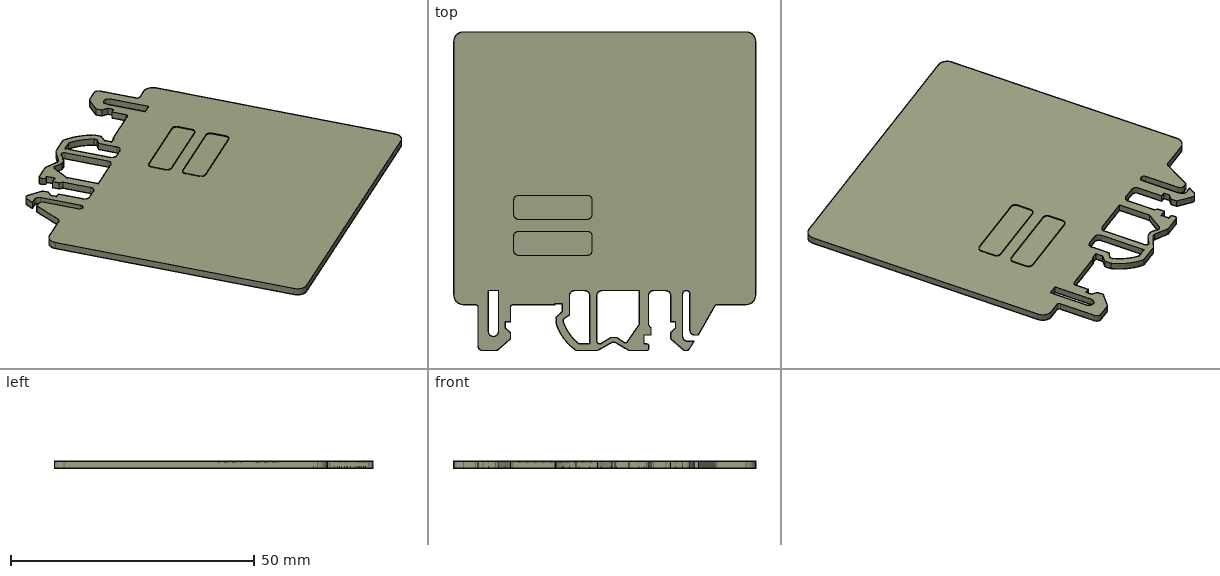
import cadquery as cq

WIDTH = 62.0
LENGTH = 65.5
THICKNESS = 1.5

PLATE_BOTTOM = 9.4
OPENING_TOP = 12.3
OPENING_BOTTOM = 1.45
NOTCH_TOP = 5.9
NOTCH_BOTTOM = 4.65
HOOK_NOSE_TOP = 3.75
HOOK_NOSE_BOTTOM = 2.4
LEDGE = 3.2

PLATE_RADIUS = 2.0
LARGE_RADIUS = 1.0
SMALL_RADIUS = 0.5
RELEASE_TOP_RADIUS = 0.65

HOOK_LEFT = 5.0
HOOK_RIGHT = 11.65
HOOK_NOTCH = 10.6
HOOK_TIP = 8.9
HOOK_SLOT_LEFT = 7.15
HOOK_SLOT_RIGHT = 9.2
HOOK_SLOT_BOTTOM = 2.95

FOOT_STEP = 20.75
FOOT_STEP_TOP = 9.6
FOOT_NECK = 22.3
FOOT_NECK_BOTTOM = 8.05
BOW_SIDE = 21.0
BOW_TOP = 6.9
BOW_START = 5.5
BOW_MIDDLE = (22.5, 2.55)
FOOT_LEFT = 25.15
ARCH_LEFT = 29.5
ARCH_RIGHT = 36.0
ARCH_CREST_LEFT = 32.55
ARCH_CREST_RIGHT = 33.15
ARCH_CREST = 1.7
LATCH_NECK = 40.0
LATCH_NECK_BOTTOM = 5.3
LATCH_TOOTH = 40.55
LATCH_NOTCH = 39.1
LATCH_TOE = 40.1
WEB_LEFT = 27.9
WEB_RIGHT = 29.4

RIGHT_HOOK = 44.55
RIGHT_NOTCH = 45.5
RELEASE_LEFT = 47.0
RELEASE_RIGHT = 48.5
RELEASE_BOTTOM = 1.95
WEDGE_TIP = 50.25
WEDGE_TOP = 53.8
RIGHT_HOOK_TIP_START = (47.0, 0.25)
RIGHT_HOOK_TIP_LOW = (47.7, 0)
RIGHT_HOOK_TIP_END = (48.5, 0.45)
RIGHT_HOOK_TOE = 49.4

LABEL_LEFT = 12.3
LABEL_WIDTH = 16.1
LABEL_HEIGHT = 4.9
LABEL_BOTTOMS = (19.6, 27.0)
LABEL_RADIUS = 1.0
LABEL_DEPTH = 0.2


def round_corners(body, radius, corners):
    """Fillet the upright edges standing at the given (x, y) corners."""
    reach = 0.03
    margin = 0.65
    low = -margin
    high = THICKNESS + margin
    edges = cq.Workplane("XY")
    for x, y in corners:
        box = cq.selectors.BoxSelector((x - reach, y - reach, low), (x + reach, y + reach, high))
        edges = edges.add(body.edges("|Z").edges(box))
    return body.newObject([body.val().fillet(radius, edges.vals())])


def make_plate():
    """Plate with both hooks, the outside of the middle foot and the wedge."""
    outline = (
        cq.Workplane("XY")
        .moveTo(0, LENGTH)
        .lineTo(0, PLATE_BOTTOM)
        .lineTo(HOOK_LEFT, PLATE_BOTTOM)
        .lineTo(HOOK_LEFT, 0)
        .lineTo(HOOK_TIP, 0)
        .lineTo(HOOK_RIGHT, HOOK_NOSE_BOTTOM)
        .lineTo(HOOK_RIGHT, HOOK_NOSE_TOP)
        .lineTo(HOOK_NOTCH, NOTCH_BOTTOM)
        .lineTo(HOOK_NOTCH, NOTCH_TOP)
        .lineTo(HOOK_RIGHT, NOTCH_TOP)
        .lineTo(HOOK_RIGHT, PLATE_BOTTOM)
        .lineTo(FOOT_STEP, PLATE_BOTTOM)
        .lineTo(FOOT_STEP, FOOT_STEP_TOP)
        .lineTo(FOOT_NECK, FOOT_STEP_TOP)
        .lineTo(FOOT_NECK, FOOT_NECK_BOTTOM)
        .lineTo(BOW_SIDE, BOW_TOP)
        .lineTo(BOW_SIDE, BOW_START)
        .threePointArc(BOW_MIDDLE, (FOOT_LEFT, 0))
        .lineTo(ARCH_LEFT, 0)
        .lineTo(ARCH_CREST_LEFT, ARCH_CREST)
        .lineTo(ARCH_CREST_RIGHT, ARCH_CREST)
        .lineTo(ARCH_RIGHT, 0)
        .lineTo(LATCH_TOE, 0)
        .lineTo(LATCH_TOE, OPENING_BOTTOM)
        .lineTo(LATCH_NOTCH, OPENING_BOTTOM)
        .lineTo(LATCH_NOTCH, LEDGE)
        .lineTo(LATCH_TOOTH, LEDGE)
        .lineTo(LATCH_TOOTH, NOTCH_BOTTOM)
        .lineTo(LATCH_NECK, LATCH_NECK_BOTTOM)
        .lineTo(LATCH_NECK, OPENING_TOP)
        .lineTo(RIGHT_HOOK, OPENING_TOP)
        .lineTo(RIGHT_HOOK, NOTCH_TOP)
        .lineTo(RIGHT_NOTCH, NOTCH_TOP)
        .lineTo(RIGHT_NOTCH, NOTCH_BOTTOM)
        .lineTo(RIGHT_HOOK, HOOK_NOSE_TOP)
        .lineTo(RIGHT_HOOK, HOOK_NOSE_BOTTOM)
        .lineTo(*RIGHT_HOOK_TIP_START)
        .threePointArc(RIGHT_HOOK_TIP_LOW, RIGHT_HOOK_TIP_END)
        .lineTo(RIGHT_HOOK_TOE, RELEASE_BOTTOM)
        .lineTo(RELEASE_LEFT, RELEASE_BOTTOM)
        .lineTo(RELEASE_LEFT, OPENING_TOP)
        .lineTo(RELEASE_RIGHT, OPENING_TOP)
        .lineTo(RELEASE_RIGHT, LEDGE)
        .lineTo(WEDGE_TIP, LEDGE)
        .lineTo(WEDGE_TOP, PLATE_BOTTOM)
        .lineTo(WIDTH, PLATE_BOTTOM)
        .lineTo(WIDTH, LENGTH)
        .close()
    )
    plate = outline.extrude(THICKNESS)
    plate = round_corners(plate, PLATE_RADIUS, [
        (0, LENGTH),
        (WIDTH, LENGTH),
        (0, PLATE_BOTTOM),
        (WIDTH, PLATE_BOTTOM),
    ])
    plate = round_corners(plate, RELEASE_TOP_RADIUS, [
        (RELEASE_LEFT, OPENING_TOP),
        (RELEASE_RIGHT, OPENING_TOP),
    ])
    plate = round_corners(plate, LARGE_RADIUS, [
        (HOOK_LEFT, 0),
        (HOOK_TIP, 0),
        (LATCH_NECK, OPENING_TOP),
        (RIGHT_HOOK, OPENING_TOP),
        (RELEASE_LEFT, RELEASE_BOTTOM),
        (RELEASE_RIGHT, LEDGE),
    ])
    return round_corners(plate, SMALL_RADIUS, [
        (HOOK_LEFT, PLATE_BOTTOM),
        (HOOK_RIGHT, PLATE_BOTTOM),
        (LATCH_TOE, 0),
        (LATCH_TOE, OPENING_BOTTOM),
        (WEDGE_TOP, PLATE_BOTTOM),
    ])


def make_hook_slot():
    """Slot up the left hook, square at the top and round at the bottom."""
    slot = (
        cq.Workplane("XY")
        .moveTo(HOOK_SLOT_LEFT, HOOK_SLOT_BOTTOM)
        .lineTo(HOOK_SLOT_RIGHT, HOOK_SLOT_BOTTOM)
        .lineTo(HOOK_SLOT_RIGHT, OPENING_TOP)
        .lineTo(HOOK_SLOT_LEFT, OPENING_TOP)
        .close()
        .extrude(THICKNESS)
    )
    return slot.edges("|Z and <Y").fillet(LARGE_RADIUS)


def make_spring_opening():
    """Opening between the bowed spring side and the web of the middle foot."""
    left = 23.8
    side_bottom = 7.35
    bow_side = 22.5
    bow_top = 6.5
    bow_start = 5.9
    bow_middle = (23.8, 3.5)
    bow_end = 25.7
    opening = (
        cq.Workplane("XY")
        .moveTo(left, OPENING_TOP)
        .lineTo(left, side_bottom)
        .lineTo(bow_side, bow_top)
        .lineTo(bow_side, bow_start)
        .threePointArc(bow_middle, (bow_end, OPENING_BOTTOM))
        .lineTo(WEB_LEFT, OPENING_BOTTOM)
        .lineTo(WEB_LEFT, OPENING_TOP)
        .close()
        .extrude(THICKNESS)
    )
    return round_corners(opening, LARGE_RADIUS, [(left, OPENING_TOP), (WEB_LEFT, OPENING_TOP)])


def make_latch_opening():
    """Opening between the web and the latch side, with a roof-shaped lower edge."""
    right = 38.05
    right_bottom = 5.4
    roof_left = 30.2
    crest_left = 32.3
    crest_right = 33.5
    crest = 2.75
    valley = 35.4
    opening = (
        cq.Workplane("XY")
        .moveTo(WEB_RIGHT, OPENING_TOP)
        .lineTo(WEB_RIGHT, OPENING_BOTTOM)
        .lineTo(roof_left, OPENING_BOTTOM)
        .lineTo(crest_left, crest)
        .lineTo(crest_right, crest)
        .lineTo(valley, OPENING_BOTTOM)
        .lineTo(right, right_bottom)
        .lineTo(right, OPENING_TOP)
        .close()
        .extrude(THICKNESS)
    )
    opening = round_corners(opening, LARGE_RADIUS, [(WEB_RIGHT, OPENING_TOP)])
    return round_corners(opening, SMALL_RADIUS, [(WEB_RIGHT, OPENING_BOTTOM), (valley, OPENING_BOTTOM)])


def make_label_recess(bottom):
    """Shallow rounded panel sunk into the top face."""
    return (
        cq.Workplane("XY", origin=(LABEL_LEFT, bottom, THICKNESS - LABEL_DEPTH))
        .rect(LABEL_WIDTH, LABEL_HEIGHT, centered=False)
        .extrude(LABEL_DEPTH)
        .edges("|Z")
        .fillet(LABEL_RADIUS)
    )


result = make_plate().cut(make_hook_slot()).cut(make_spring_opening()).cut(make_latch_opening())
for label_bottom in LABEL_BOTTOMS:
    result = result.cut(make_label_recess(label_bottom))